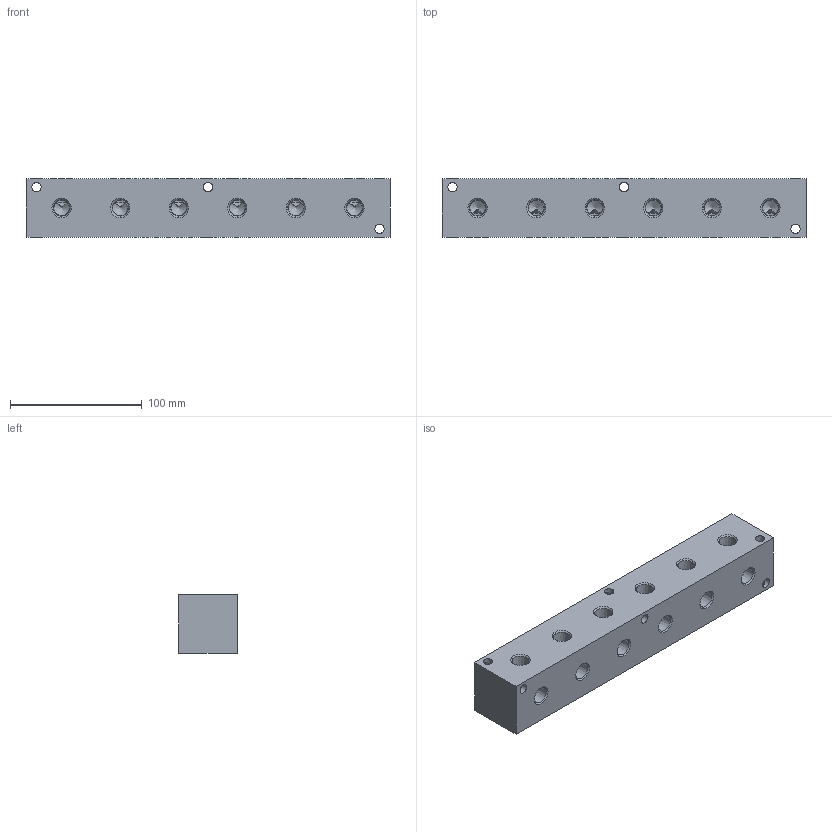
import cadquery as cq
import math

length = 276.23
side = 44.45
half_side = side / 2

port_count = 6
port_pitch = side
port_diameter = 12.7
port_taper = 1 / 16
port_mouth_diameter = 14.7
port_mouth_angle = 45.0
port_tip_offset = 0.5
drill_diameter = 11.8
drill_point_angle = 118.0

mount_diameter = 7.11
mount_end_inset = 7.94
mount_edge_inset = 6.35


def port_cutter():
    """Port tool pointing down from the top face, with its axis on Z."""
    radius = port_diameter / 2
    mouth_radius = port_mouth_diameter / 2
    mouth_depth = (mouth_radius - radius) / math.tan(math.radians(port_mouth_angle))
    taper_depth = mouth_depth + (port_diameter - drill_diameter) / port_taper
    drill_radius = drill_diameter / 2
    point_height = drill_radius / math.tan(math.radians(drill_point_angle / 2))
    return (
        cq.Workplane("XZ")
        .moveTo(0, half_side)
        .lineTo(mouth_radius, half_side)
        .lineTo(radius, half_side - mouth_depth)
        .lineTo(drill_radius, half_side - taper_depth)
        .lineTo(drill_radius, port_tip_offset + point_height)
        .lineTo(0, port_tip_offset)
        .close()
        .revolve(360, (0, 0, 0), (0, 1, 0))
    )


def top_hole_cutters():
    """All the tools that enter from the top face."""
    mount_x = length / 2 - mount_end_inset
    mount_y = half_side - mount_edge_inset
    cutters = (
        cq.Workplane("XY", origin=(0, 0, -half_side))
        .pushPoints([(-mount_x, mount_y), (0, mount_y), (mount_x, -mount_y)])
        .circle(mount_diameter / 2)
        .extrude(side)
    )
    for index in range(port_count):
        port_x = (index - (port_count - 1) / 2) * port_pitch
        cutters = cutters.add(port_cutter().translate((port_x, 0, 0)))
    return cutters


def cut_all(body, cutters):
    """Remove every tool of the set from the body."""
    for cutter in cutters.vals():
        body = body.cut(cq.Workplane(cutter))
    return body


top_cutters = top_hole_cutters()
front_cutters = cq.Workplane().newObject(
    [cutter.rotate((0, 0, 0), (1, 0, 0), 90) for cutter in top_cutters.vals()]
)

block = cq.Workplane("XY").box(length, side, side)
result = cut_all(cut_all(block, top_cutters), front_cutters)